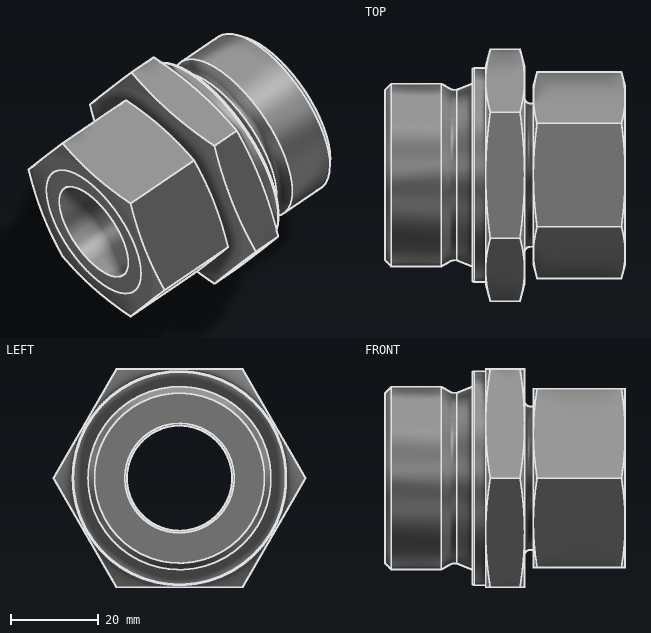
import cadquery as cq
import math


THREAD_END = 12.95
SEAL_START = 16.45
COLLAR_START = 20.0
HEX_START = 23.1
HEX_END = 32.0
NUT_START = 34.0
TOTAL_LENGTH = 55.0

THREAD_RADIUS = 20.95
THREAD_CHAMFER = 1.5
GROOVE_RADIUS = 19.55
RUNOUT_ANGLE = math.radians(30)
RUNOUT_ROUND = 1.7
COLLAR_RADIUS = 24.55
COLLAR_CHAMFER_LENGTH = 0.45
COLLAR_CHAMFER_DEPTH = 0.25
NECK_RADIUS = 16.45
NECK_FILLET = 1.25
BORE_RADIUS = 12.0
BORE_CHAMFER = 0.5

BODY_HEX_CORNERS = 57.75
NUT_HEX_FLATS = 41.0
HEX_CHAMFER_ANGLE = math.radians(15)
FLATS_PER_CORNERS = math.cos(math.radians(30))


def revolve_about_x(profile):
    """Turn a closed (x, radius) profile into a solid of revolution."""
    return profile.close().revolve(360, (0, 0, 0), (1, 0, 0))


def chamfered_hex(corners, start, end):
    """Hexagonal prism with conical chamfers that just touch the flats at both ends."""
    corner_radius = corners / 2
    flat_radius = corner_radius * FLATS_PER_CORNERS
    chamfer_length = (corner_radius - flat_radius) * math.tan(HEX_CHAMFER_ANGLE)
    prism = cq.Workplane("YZ", origin=(start, 0, 0)).polygon(6, corners).extrude(end - start)
    envelope = revolve_about_x(
        cq.Workplane("XY")
        .moveTo(start, 0)
        .lineTo(start, flat_radius)
        .lineTo(start + chamfer_length, corner_radius)
        .lineTo(end - chamfer_length, corner_radius)
        .lineTo(end, flat_radius)
        .lineTo(end, 0)
    )
    return prism.intersect(envelope)


def make_turned_body():
    """Bored stud: thread, runout, seal groove, collar and the neck that carries the nut."""
    cone_end_radius = GROOVE_RADIUS + RUNOUT_ROUND * (1 - math.cos(RUNOUT_ANGLE))
    cone_end = THREAD_END + (THREAD_RADIUS - cone_end_radius) / math.tan(RUNOUT_ANGLE)
    round_end = cone_end + RUNOUT_ROUND * math.sin(RUNOUT_ANGLE)
    return revolve_about_x(
        cq.Workplane("XY")
        .moveTo(0, BORE_RADIUS + BORE_CHAMFER)
        .lineTo(0, THREAD_RADIUS - THREAD_CHAMFER)
        .lineTo(THREAD_CHAMFER, THREAD_RADIUS)
        .lineTo(THREAD_END, THREAD_RADIUS)
        .lineTo(cone_end, cone_end_radius)
        .radiusArc((round_end, GROOVE_RADIUS), -RUNOUT_ROUND)
        .lineTo(COLLAR_START, GROOVE_RADIUS)
        .lineTo(COLLAR_START, COLLAR_RADIUS - COLLAR_CHAMFER_DEPTH)
        .lineTo(COLLAR_START + COLLAR_CHAMFER_LENGTH, COLLAR_RADIUS)
        .lineTo(HEX_END, COLLAR_RADIUS)
        .lineTo(HEX_END, NECK_RADIUS + NECK_FILLET)
        .radiusArc((HEX_END + NECK_FILLET, NECK_RADIUS), -NECK_FILLET)
        .lineTo(TOTAL_LENGTH, NECK_RADIUS)
        .lineTo(TOTAL_LENGTH, BORE_RADIUS)
        .lineTo(BORE_CHAMFER, BORE_RADIUS)
    )


def make_stud():
    """Turned body with its wrench hexagon, bored through."""
    hexagon = chamfered_hex(BODY_HEX_CORNERS, HEX_START, HEX_END)
    bore = cq.Workplane("YZ").circle(BORE_RADIUS).extrude(TOTAL_LENGTH)
    return make_turned_body().union(hexagon.cut(bore))


def make_seal_ring():
    """Tapered ring in the groove, widening from the groove floor to the collar face."""
    return revolve_about_x(
        cq.Workplane("XY")
        .moveTo(SEAL_START, GROOVE_RADIUS)
        .lineTo(COLLAR_START, THREAD_RADIUS)
        .lineTo(COLLAR_START, GROOVE_RADIUS)
    )


def make_union_nut():
    """Hexagonal nut around the neck, flush with the neck's end."""
    nut_corners = NUT_HEX_FLATS / FLATS_PER_CORNERS
    hexagon = chamfered_hex(nut_corners, NUT_START, TOTAL_LENGTH)
    neck_hole = cq.Workplane("YZ").circle(NECK_RADIUS).extrude(TOTAL_LENGTH)
    return hexagon.cut(neck_hole)


stud = make_stud()
seal_ring = make_seal_ring()
union_nut = make_union_nut()

result = cq.Compound.makeCompound(
    [stud.solids().val(), seal_ring.solids().val(), union_nut.solids().val()]
)